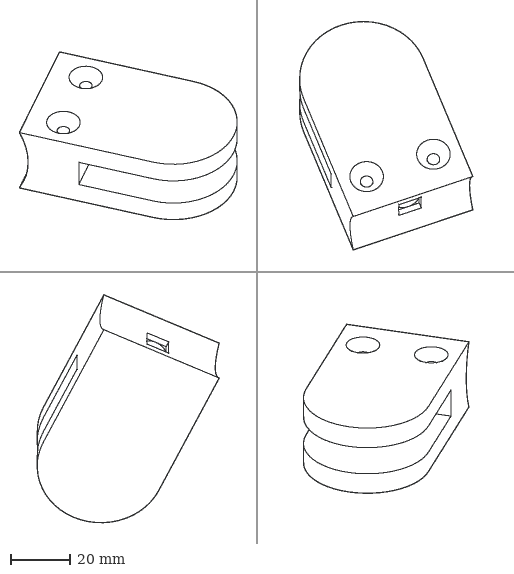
import cadquery as cq
import math

LENGTH = 69.0
WIDTH = 43.0
HEIGHT = 25.0
HALF_HEIGHT = HEIGHT / 2
END_RADIUS = WIDTH / 2

SEAT_DEPTH = 3.1
SEAT_RADIUS = (HALF_HEIGHT**2 + SEAT_DEPTH**2) / (2 * SEAT_DEPTH)
SEAT_AXIS_X = SEAT_DEPTH - SEAT_RADIUS

SLOT_HEIGHT = 10.0
SLOT_START_X = 21.1

RECESS_DEPTH = 2.0
FIXING_SIZE = 8.0

SCREW_X = 12.5
SCREW_SPACING = 24.0
SINK_DIAMETER = 11.3
LEAD_IN_DIAMETER = 4.9
DRILL_DIAMETER = 4.2
SINK_ANGLE = 90.0
LEAD_IN_DEPTH = 0.5
DRILL_DEPTH = 15.0
DRILL_TIP_ANGLE = 118.0


def post(radius):
    """Cylinder along Y about the axis of the seat."""
    cylinder = cq.Workplane("XZ").center(SEAT_AXIS_X, 0).circle(radius)
    return cylinder.extrude(WIDTH, both=True)


def block():
    """D-shaped block with its round end toward +X."""
    outline = (
        cq.Workplane("XY")
        .workplane(offset=-HALF_HEIGHT)
        .moveTo(0, -WIDTH / 2)
        .lineTo(LENGTH - END_RADIUS, -WIDTH / 2)
        .threePointArc((LENGTH, 0), (LENGTH - END_RADIUS, WIDTH / 2))
        .lineTo(0, WIDTH / 2)
        .close()
    )
    return outline.extrude(HEIGHT)


def glass_slot():
    """Slot across the full width, open at the round end."""
    slot = cq.Workplane("XY").box(LENGTH, WIDTH, SLOT_HEIGHT, centered=(False, True, True))
    return slot.translate((SLOT_START_X, 0, 0))


def fixing_hole():
    """Round hole along X with a square recess whose floor is concentric with the seat."""
    bore = cq.Workplane("YZ").circle(FIXING_SIZE / 2).extrude(SLOT_START_X)
    square = cq.Workplane("YZ").rect(FIXING_SIZE, FIXING_SIZE).extrude(SLOT_START_X)
    recess = square.intersect(post(SEAT_RADIUS + RECESS_DEPTH))
    return bore.union(recess)


def screw_hole(y):
    """Countersink, short lead-in cone and drilled blind hole with a conical tip."""
    sink_radius = SINK_DIAMETER / 2
    lead_in_radius = LEAD_IN_DIAMETER / 2
    drill_radius = DRILL_DIAMETER / 2
    sink_depth = (sink_radius - lead_in_radius) / math.tan(math.radians(SINK_ANGLE / 2))
    tip_length = drill_radius / math.tan(math.radians(DRILL_TIP_ANGLE / 2))
    profile = [
        (0, 0),
        (sink_radius, 0),
        (lead_in_radius, -sink_depth),
        (drill_radius, -sink_depth - LEAD_IN_DEPTH),
        (drill_radius, -DRILL_DEPTH),
        (0, -DRILL_DEPTH - tip_length),
    ]
    hole = cq.Workplane("XZ").polyline(profile).close().revolve(360, (0, 0), (0, 1))
    return hole.translate((SCREW_X, y, HALF_HEIGHT))


result = block().cut(post(SEAT_RADIUS)).cut(glass_slot()).cut(fixing_hole())
for side in (-1, 1):
    result = result.cut(screw_hole(side * SCREW_SPACING / 2))